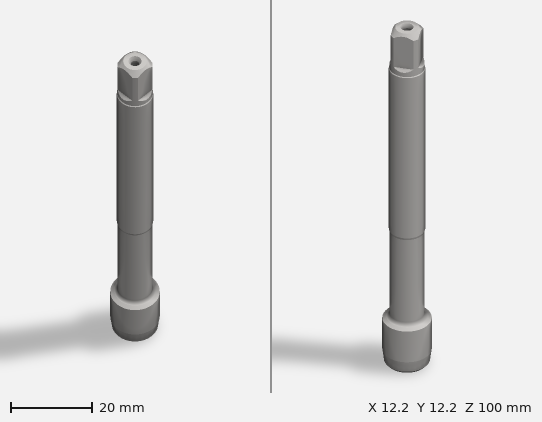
import cadquery as cq
import math

total_length = 100.0

head_radius = 12.2 / 2
head_length = 13.0
lead_length = 3.8
lead_end_radius = 5.7
nose_radius = 5.1
nose_height = 0.7

neck_radius = 8.7 / 2
shoulder_top_radius = 5.1
shoulder_height = 0.6
fillet_height = 1.0
fillet_bulge = 0.15

shank_radius = 9.0 / 2
neck_top = 39.2
neck_taper_height = 0.6
shank_top = 87.8

drive_radius = 8.6 / 2
across_flats = 7.0
drive_tip_radius = 2.9
flat_bottom = 90.0

centre_hole_radius = 2.0 / 2
countersink_radius = 1.6
countersink_angle = 60.0
centre_hole_depth = 4.0
drill_point_angle = 120.0


def make_cutting_head():
    """Thread envelope with a tapered lead and a chamfered nose."""
    return (
        cq.Workplane("XZ")
        .lineTo(nose_radius, 0)
        .lineTo(lead_end_radius, nose_height)
        .lineTo(head_radius, lead_length)
        .lineTo(head_radius, head_length)
        .lineTo(0, head_length)
        .close()
        .revolve(360, (0, 0, 0), (0, 1, 0))
    )


def make_shank_blank():
    """Turned shank: shoulder, filleted neck, shank and drive end."""
    shoulder_top = head_length + shoulder_height
    neck_bottom = shoulder_top + fillet_height
    drive_bottom = shank_top + shank_radius - drive_radius
    fillet_middle = (
        (neck_radius + shoulder_top_radius) / 2 - fillet_bulge,
        (shoulder_top + neck_bottom) / 2 - fillet_bulge,
    )
    return (
        cq.Workplane("XZ")
        .moveTo(0, head_length)
        .lineTo(head_radius, head_length)
        .lineTo(shoulder_top_radius, shoulder_top)
        .threePointArc(fillet_middle, (neck_radius, neck_bottom))
        .lineTo(neck_radius, neck_top)
        .lineTo(shank_radius, neck_top + neck_taper_height)
        .lineTo(shank_radius, shank_top)
        .lineTo(drive_radius, drive_bottom)
        .lineTo(drive_radius, total_length - (drive_radius - drive_tip_radius))
        .lineTo(drive_tip_radius, total_length)
        .lineTo(0, total_length)
        .close()
        .revolve(360, (0, 0, 0), (0, 1, 0))
    )


def make_flat_cutter():
    """Cutter for the +X flat, with a run-out sloping outward and down at 45 degrees."""
    flat_offset = across_flats / 2
    cutter_depth = shank_radius - flat_offset
    return (
        cq.Workplane("XZ")
        .moveTo(flat_offset, total_length)
        .lineTo(flat_offset, flat_bottom)
        .lineTo(flat_offset + cutter_depth, flat_bottom - cutter_depth)
        .lineTo(flat_offset + cutter_depth, total_length)
        .close()
        .extrude(shank_radius, both=True)
    )


def make_centre_hole():
    """Countersunk centre hole with a drill point."""
    countersink_depth = (countersink_radius - centre_hole_radius) / math.tan(math.radians(countersink_angle / 2))
    point_depth = centre_hole_radius / math.tan(math.radians(drill_point_angle / 2))
    hole_bottom = total_length - centre_hole_depth
    return (
        cq.Workplane("XZ")
        .moveTo(0, total_length)
        .lineTo(countersink_radius, total_length)
        .lineTo(centre_hole_radius, total_length - countersink_depth)
        .lineTo(centre_hole_radius, hole_bottom)
        .lineTo(0, hole_bottom - point_depth)
        .close()
        .revolve(360, (0, 0, 0), (0, 1, 0))
    )


def make_shank():
    """Shank with four drive flats and the centre hole."""
    body = make_shank_blank()
    flat_cutter = make_flat_cutter()
    for angle in (0, 90, 180, 270):
        body = body.cut(flat_cutter.rotate((0, 0, 0), (0, 0, 1), angle))
    return body.cut(make_centre_hole())


cutting_head = make_cutting_head()
shank = make_shank()

result = cq.Compound.makeCompound([cutting_head.val(), shank.val()])